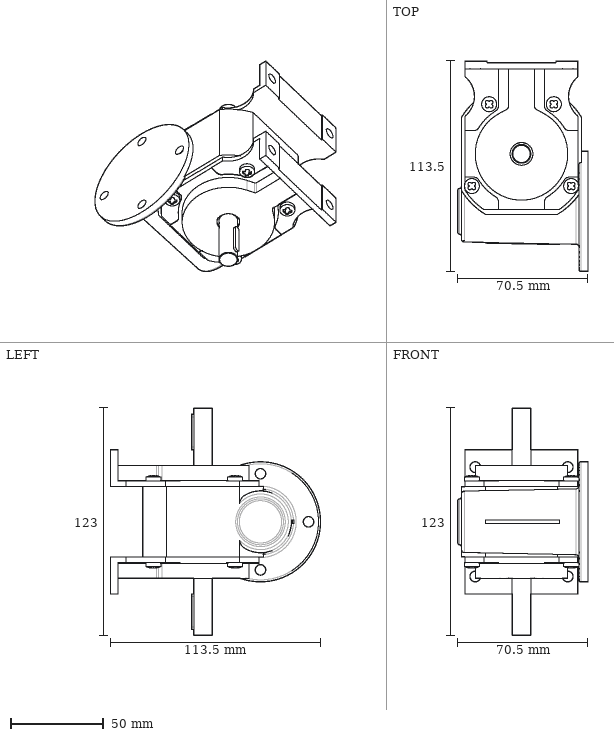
import cadquery as cq
import math


worm_y = -31.0
back_y = 50.0
shaft_end_z = 61.5

body_half_width = 32.5
body_half_height = 19.0
body_half_length = 32.6
body_corner_radius = 38.0

tube_start_x = -body_half_width
tube_end_x = 29.5
tube_start_radius = 16.6
tube_end_radius = 17.8
tube_edge_radius = 1.6
cap_face_x = -34.5
cap_radius = 12.4
cap_edge_radius = 1.0
cap_flare_radius = 1.0
flange_x = 31.0
flange_face_x = 36.0
flange_radius = 32.5
flange_edge_radius = 1.1
flange_hole_circle_radius = 26.0
flange_hole_diameter = 5.5
rib_start_x = -19.4
rib_end_x = 20.5
rib_width = 2.0
rib_height = 0.4

cover_half_width = 30.5
cover_top_z = 22.4
cover_front_y = -30.1
cover_corner_radius = 36.3
waist_half_width = 25.5
waist_front_y = 20.3
waist_back_y = 41.7
foot_top_z = 39.0
foot_thickness = 4.2
foot_hole_x = 25.0
foot_hole_z = 29.5
foot_hole_diameter = 5.7
foot_relief_half_width = 18.6
foot_relief_depth = 0.7

pad_depth = 0.4
pad_inner_x = 12.4
pad_inner_y = 12.5
pad_arc_radius = 27.0
pad_corner_radius = 3.1

boss_top_z = 30.5
boss_radius = 25.0
arm_half_width = 7.1
arm_root_y = 24.5
arm_root_radius = 1.2
seal_radius = 6.2
seal_depth = 1.2

shaft_radius = 5.0
shaft_chamfer = 0.4
key_width = 3.0
key_top_y = 6.2
key_start_z = 38.9
key_end_z = 58.2

screw_places = [(-17.5, 26.8), (17.5, 26.8), (-26.8, -17.3), (26.8, -17.3)]
screw_radius = 4.0
screw_rim_height = 2.1
screw_height = 3.1
cross_length = 4.9
cross_width = 2.0
cross_depth = 1.2


def cylinder_z(radius, bottom_z, top_z):
    return cq.Workplane("XY").workplane(offset=bottom_z).circle(radius).extrude(top_z - bottom_z)


def revolve_about_worm_axis(profile):
    """Revolve a closed (x, radius) profile about the worm axis."""
    return (
        cq.Workplane("XY", origin=(0, worm_y, 0))
        .polyline(profile)
        .close()
        .revolve(360, (0, 0, 0), (1, 0, 0))
    )


def make_flared_neck(inner_radius, wall_x, fillet_radius):
    """Solid round neck, flaring by a concave fillet onto the wall at wall_x on its +X side."""
    start_x = wall_x - fillet_radius
    outer_radius = inner_radius + fillet_radius
    arc_offset = fillet_radius * math.sqrt(0.5)
    return (
        cq.Workplane("XY", origin=(0, worm_y, 0))
        .moveTo(start_x, 0)
        .lineTo(start_x, inner_radius)
        .threePointArc((start_x + arc_offset, outer_radius - arc_offset), (wall_x, outer_radius))
        .lineTo(wall_x, 0)
        .close()
        .revolve(360, (0, 0, 0), (1, 0, 0))
    )


def tube_radius(x):
    """Radius of the tapered worm tube at x."""
    share = (x - tube_start_x) / (tube_end_x - tube_start_x)
    return tube_start_radius + share * (tube_end_radius - tube_start_radius)


def make_body():
    height = 2 * body_half_height
    block = cq.Workplane("XY").box(2 * body_half_width, 2 * body_half_length, height)
    return block.intersect(cylinder_z(body_corner_radius, -body_half_height, body_half_height))


def make_tube():
    tube = revolve_about_worm_axis([
        (tube_start_x, 0),
        (tube_start_x, tube_start_radius),
        (tube_end_x, tube_end_radius),
        (tube_end_x, 0),
    ])
    return tube.faces("<X").edges().fillet(tube_edge_radius)


def make_cap():
    cap = revolve_about_worm_axis([
        (cap_face_x, 0),
        (cap_face_x, cap_radius),
        (tube_start_x, cap_radius),
        (tube_start_x, 0),
    ])
    cap = cap.faces("<X").edges().fillet(cap_edge_radius)
    return cap.union(make_flared_neck(cap_radius, tube_start_x, cap_flare_radius))


def make_rib():
    """Low rib along the front of the tube, following its taper."""
    shell = revolve_about_worm_axis([
        (rib_start_x, 0),
        (rib_start_x, tube_radius(rib_start_x) + rib_height),
        (rib_end_x, tube_radius(rib_end_x) + rib_height),
        (rib_end_x, 0),
    ])
    front_slab = (
        cq.Workplane("XY", origin=(0, worm_y, 0))
        .box(2 * body_half_width, flange_radius, rib_width, centered=(True, False, True))
        .translate((0, -flange_radius, 0))
    )
    return shell.intersect(front_slab)


def make_flange():
    flange = revolve_about_worm_axis([
        (flange_x, 0),
        (flange_x, flange_radius),
        (flange_face_x, flange_radius),
        (flange_face_x, 0),
    ])
    flange = flange.faces("<X").edges().fillet(flange_edge_radius)
    holes = (
        cq.Workplane("YZ", origin=(flange_x, worm_y, 0))
        .polarArray(flange_hole_circle_radius, 0, 360, 4)
        .circle(flange_hole_diameter / 2)
        .extrude(flange_face_x - flange_x)
    )
    neck = make_flared_neck(tube_end_radius, flange_x, flange_x - tube_end_x)
    return flange.cut(holes).union(neck)


def make_cover_plate():
    waist_middle_y = (waist_front_y + waist_back_y) / 2
    front_corner_x = math.sqrt(cover_corner_radius ** 2 - cover_front_y ** 2)
    side_corner_y = -math.sqrt(cover_corner_radius ** 2 - cover_half_width ** 2)
    front_angle = math.atan2(cover_front_y, front_corner_x)
    side_angle = math.atan2(side_corner_y, cover_half_width)
    middle_angle = (front_angle + side_angle) / 2
    arc_x = cover_corner_radius * math.cos(middle_angle)
    arc_y = cover_corner_radius * math.sin(middle_angle)
    return (
        cq.Workplane("XY")
        .workplane(offset=body_half_height)
        .moveTo(-front_corner_x, cover_front_y)
        .lineTo(front_corner_x, cover_front_y)
        .threePointArc((arc_x, arc_y), (cover_half_width, side_corner_y))
        .lineTo(cover_half_width, waist_front_y)
        .threePointArc((waist_half_width, waist_middle_y), (cover_half_width, waist_back_y))
        .lineTo(cover_half_width, back_y)
        .lineTo(-cover_half_width, back_y)
        .lineTo(-cover_half_width, waist_back_y)
        .threePointArc((-waist_half_width, waist_middle_y), (-cover_half_width, waist_front_y))
        .lineTo(-cover_half_width, side_corner_y)
        .threePointArc((-arc_x, arc_y), (-front_corner_x, cover_front_y))
        .close()
        .extrude(cover_top_z - body_half_height)
    )


def make_pad_pocket():
    """Pocket over the +X +Y corner of the cover, outside the pad arc and inside the foot."""
    bottom_z = cover_top_z - pad_depth
    size_x = cover_half_width - pad_inner_x
    size_y = back_y - foot_thickness - pad_inner_y
    pocket = (
        cq.Workplane("XY")
        .box(size_x, size_y, pad_depth, centered=False)
        .translate((pad_inner_x, pad_inner_y, bottom_z))
        .cut(cylinder_z(pad_arc_radius, bottom_z, cover_top_z))
    )
    arc_ends = [
        (pad_inner_x, math.sqrt(pad_arc_radius ** 2 - pad_inner_x ** 2)),
        (math.sqrt(pad_arc_radius ** 2 - pad_inner_y ** 2), pad_inner_y),
    ]
    for x, y in arc_ends:
        corner = cq.selectors.NearestToPointSelector((x, y, bottom_z + pad_depth / 2))
        pocket = pocket.edges("|Z").edges(corner).fillet(pad_corner_radius)
    return pocket


def make_foot():
    height = foot_top_z - body_half_height
    foot = (
        cq.Workplane("XY")
        .box(2 * cover_half_width, foot_thickness, height, centered=(True, False, False))
        .translate((0, back_y - foot_thickness, body_half_height))
    )
    holes = (
        cq.Workplane("XZ", origin=(0, back_y, 0))
        .pushPoints([(-foot_hole_x, foot_hole_z), (foot_hole_x, foot_hole_z)])
        .circle(foot_hole_diameter / 2)
        .extrude(foot_thickness)
    )
    return foot.cut(holes)


def make_foot_relief():
    """Shallow step across the middle of the mounting face."""
    return (
        cq.Workplane("XY")
        .box(2 * foot_relief_half_width, foot_relief_depth, foot_top_z, centered=(True, False, False))
        .translate((0, back_y - foot_relief_depth, 0))
    )


def make_boss():
    height = boss_top_z - body_half_height
    root_radius = math.hypot(arm_half_width, arm_root_y)
    tangent_angle = math.atan2(arm_root_y, arm_half_width) - math.acos(boss_radius / root_radius)
    tangent_x = boss_radius * math.cos(tangent_angle)
    tangent_y = boss_radius * math.sin(tangent_angle)
    arm_end_y = back_y - foot_thickness
    arm = (
        cq.Workplane("XY")
        .workplane(offset=body_half_height)
        .polyline([
            (-arm_half_width, arm_end_y),
            (-arm_half_width, arm_root_y),
            (-tangent_x, tangent_y),
            (0, 0),
            (tangent_x, tangent_y),
            (arm_half_width, arm_root_y),
            (arm_half_width, arm_end_y),
        ])
        .close()
        .extrude(height)
    )
    for side in (-1, 1):
        root_point = (side * arm_half_width, arm_root_y, boss_top_z - height / 2)
        root = cq.selectors.NearestToPointSelector(root_point)
        arm = arm.edges("|Z").edges(root).fillet(arm_root_radius)
    return cylinder_z(boss_radius, body_half_height, boss_top_z).union(arm)


def make_screw(x, y):
    """Pan head with a domed top and a cross recess turned 45 degrees."""
    dome_rise = screw_height - screw_rim_height
    dome_radius = (screw_radius ** 2 + dome_rise ** 2) / (2 * dome_rise)
    dome = cq.Workplane("XY").sphere(dome_radius).translate((0, 0, screw_height - dome_radius))
    head = cylinder_z(screw_radius, 0, screw_height).intersect(dome)
    slot = (
        cq.Workplane("XY")
        .workplane(offset=screw_height - cross_depth)
        .slot2D(cross_length, cross_width)
        .extrude(cross_depth)
    )
    for turn in (-45, 45):
        head = head.cut(slot.rotate((0, 0, 0), (0, 0, 1), turn))
    return head.translate((x, y, cover_top_z - pad_depth))


def make_shaft_end():
    shaft = cylinder_z(shaft_radius, 0, shaft_end_z).faces(">Z").chamfer(shaft_chamfer)
    key = (
        cq.Workplane("XZ")
        .center(0, (key_start_z + key_end_z) / 2)
        .slot2D(key_end_z - key_start_z, key_width, 90)
        .extrude(-key_top_y)
    )
    return shaft.union(key)


def make_cover_side():
    """Everything on the +Z side of the body."""
    side = make_cover_plate()
    back_right_pad = make_pad_pocket()
    back_left_pad = back_right_pad.mirror("YZ")
    for pad in (back_right_pad, back_left_pad):
        side = side.cut(pad).cut(pad.mirror("XZ"))
    side = side.union(make_foot()).union(make_boss()).cut(make_foot_relief())
    side = side.cut(cylinder_z(seal_radius, boss_top_z - seal_depth, boss_top_z))
    for x, y in screw_places:
        side = side.union(make_screw(x, y))
    return side.union(make_shaft_end())


cover_side = make_cover_side()
result = (
    make_body()
    .union(make_tube())
    .union(make_cap())
    .union(make_rib())
    .union(make_flange())
    .union(cover_side)
    .union(cover_side.mirror("XY"))
)